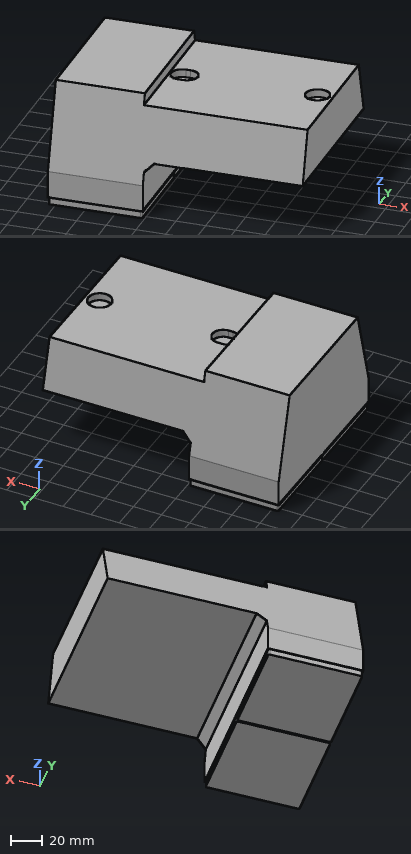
import cadquery as cq

length = 170.0
width = 127.2
height = 81.0

head_length = 64.0
cap_length = 60.0
cap_step = 7.5
arm_bottom_depth = 43.0
corner_chamfer = 6.3

top_width = 96.0
taper_height = 57.6

pad_thickness = 5.0
pad_inset = 0.5
pad_side_inset = 0.3
pad_gap = 1.0
pad_corner_radius = 1.0

recess_depth = 5.5
round_recess_diameter = 16.0
round_recess_x = 159.5
slot_length = 18.0
slot_width = 15.0
slot_x = 70.0

arm_top = height - cap_step
arm_bottom = height - arm_bottom_depth
shoulder = height - taper_height


def make_body():
    """Side profile intersected with the tapered cross-section."""
    profile = (
        cq.Workplane("XZ")
        .moveTo(0, pad_thickness)
        .lineTo(head_length, pad_thickness)
        .lineTo(head_length, arm_bottom - corner_chamfer)
        .lineTo(head_length + corner_chamfer, arm_bottom)
        .lineTo(length, arm_bottom)
        .lineTo(length, arm_top)
        .lineTo(cap_length, arm_top)
        .lineTo(cap_length, height)
        .lineTo(0, height)
        .close()
        .extrude(width / 2, both=True)
    )
    section = (
        cq.Workplane("YZ")
        .moveTo(-width / 2, pad_thickness)
        .lineTo(width / 2, pad_thickness)
        .lineTo(width / 2, shoulder)
        .lineTo(top_width / 2, height)
        .lineTo(-top_width / 2, height)
        .lineTo(-width / 2, shoulder)
        .close()
        .extrude(length)
    )
    return profile.intersect(section)


def make_pad(side):
    """One pad with rounded vertical corners; side is -1 or 1 along Y."""
    pad_length = head_length - 2 * pad_inset
    pad_width = (width - pad_gap) / 2 - pad_side_inset
    center_y = side * (pad_gap + pad_width) / 2
    return (
        cq.Workplane("XY")
        .center(head_length / 2, center_y)
        .rect(pad_length, pad_width)
        .extrude(pad_thickness)
        .edges("|Z")
        .fillet(pad_corner_radius)
    )


def cut_recesses(body):
    """Blind round and slotted recesses on the arm's center line."""
    arm_face = cq.Workplane("XY", origin=(0, 0, arm_top))
    round_recess = (
        arm_face.center(round_recess_x, 0)
        .circle(round_recess_diameter / 2)
        .extrude(-recess_depth)
    )
    slot_recess = (
        arm_face.center(slot_x, 0)
        .slot2D(slot_length, slot_width)
        .extrude(-recess_depth)
    )
    return body.cut(round_recess).cut(slot_recess)


result = cut_recesses(make_body())
for pad_side in (-1, 1):
    result = result.union(make_pad(pad_side))